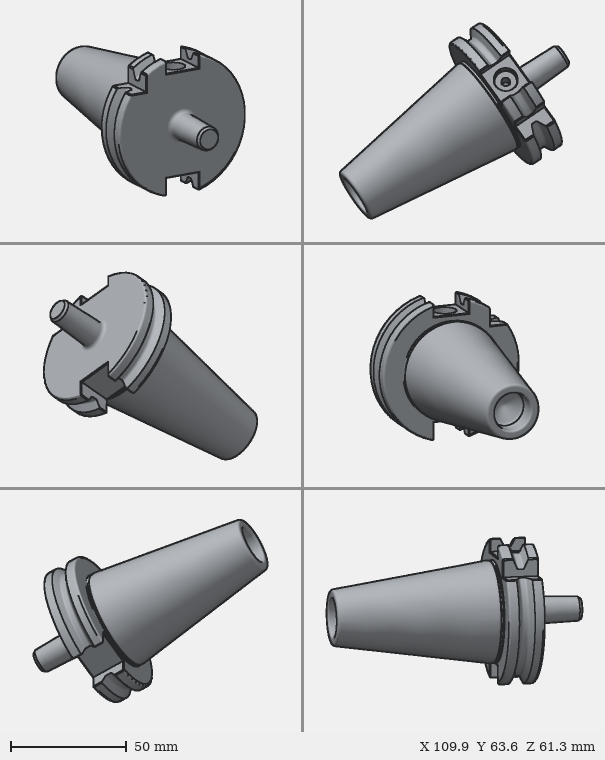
import cadquery as cq
import math

total_length = 109.9
gauge_plane = 69.0
flange_start = 71.5
flange_width = 15.9
flange_end = flange_start + flange_width
flange_middle = flange_start + flange_width / 2

gauge_radius = 22.3
taper_ratio = 7 / 24
small_end_radius = gauge_radius - gauge_plane * taper_ratio / 2
small_end_round = 1.3

neck_radius = 22.0
neck_chamfer_start = 70.0
neck_round = 0.4

flange_radius = 31.8
flange_round = 1.0
groove_floor_radius = 28.1
groove_mouth_width = 6.9
groove_flank_angle = 30.0
groove_round = 1.0
slot_width = 16.2
top_slot_floor = 25.0
bottom_slot_floor = 22.5
notch_offset = 18.2
slot_edge_chamfer = 0.4

bore_mouth_radius = 8.5
bore_mouth_depth = 6.0
bore_mouth_round = 1.0
bore_step_radius = 8.1
bore_step_start = 7.6
bore_step_length = 0.3
bore_core_radius = 7.1
drill_half_angle = 59.0

pocket_radius = 5.2
pocket_depth = 4.3
pocket_chamfer = 0.3
pin_hole_radius = 1.9
pin_hole_depth = 7.7

stub_root_radius = 6.0
stub_tip_radius = 5.4
stub_root_round = 1.9
stub_chamfer_length = 1.3
stub_chamfer_height = 0.9

clearance = 5.5
tolerance = 0.0001
x_axis = ((0, 0, 0), (1, 0, 0))


def drill_point(radius):
    return radius / math.tan(math.radians(drill_half_angle))


def make_taper():
    neck_drop = gauge_radius - neck_radius
    neck_end_radius = neck_radius + neck_round
    profile = (
        cq.Workplane("XY")
        .moveTo(0, 0)
        .lineTo(0, small_end_radius)
        .lineTo(gauge_plane, gauge_radius)
        .lineTo(neck_chamfer_start, gauge_radius)
        .lineTo(neck_chamfer_start + neck_drop, neck_radius)
        .lineTo(flange_start - neck_round, neck_radius)
        .radiusArc((flange_start, neck_end_radius), -neck_round)
        .lineTo(flange_middle, neck_end_radius)
        .lineTo(flange_middle, 0)
        .close()
    )
    return profile.revolve(360, *x_axis).faces("<X").edges().fillet(small_end_round)


def slot_box(y_min, y_max, z_min, z_max):
    box = cq.Workplane("XY").box(flange_width + 2 * clearance, y_max - y_min, z_max - z_min)
    return box.translate((flange_middle, (y_min + y_max) / 2, (z_min + z_max) / 2))


def is_slot_rim(edge, box):
    """True for an edge around the opening of a slot, not for a corner along its floor."""
    center = edge.Center()
    middle = edge.positionAt(0.5)
    touches_slot = box.val().distance(cq.Vertex.makeVertex(*middle.toTuple())) < tolerance
    spans_width = abs(center.x - flange_middle) < tolerance
    below_rim = math.hypot(center.y, center.z) < flange_radius - 2 * flange_round
    return touches_slot and not (spans_width and below_rim)


def make_flange():
    flange = cq.Workplane("YZ").workplane(offset=flange_start).circle(flange_radius).extrude(flange_width)
    flange = flange.edges().fillet(flange_round)
    outside = flange_radius + clearance
    half_width = slot_width / 2
    boxes = [
        slot_box(-half_width, half_width, top_slot_floor, outside),
        slot_box(-half_width, half_width, -outside, -bottom_slot_floor),
        slot_box(-outside, -notch_offset, notch_offset, outside),
    ]
    for box in boxes:
        flange = flange.cut(box)
        flange = flange.edges().filter(lambda edge: is_slot_rim(edge, box)).chamfer(slot_edge_chamfer)
    return flange


def make_groove():
    """Ring with a V section, narrow at its rounded floor."""
    slope = math.tan(math.radians(groove_flank_angle))
    outer_radius = flange_radius + clearance
    mouth_half = groove_mouth_width / 2
    floor_half = mouth_half - (flange_radius - groove_floor_radius) * slope
    outer_half = mouth_half + clearance * slope
    profile = cq.Workplane("XY").polyline([
        (flange_middle - outer_half, outer_radius),
        (flange_middle - floor_half, groove_floor_radius),
        (flange_middle + floor_half, groove_floor_radius),
        (flange_middle + outer_half, outer_radius),
    ]).close()
    ring = profile.revolve(360, *x_axis)
    floor_edges = cq.selectors.RadiusNthSelector(0)
    return ring.edges("%CIRCLE").edges(floor_edges).fillet(groove_round)


def make_stub():
    chamfer_start = total_length - stub_chamfer_length
    profile = (
        cq.Workplane("XY")
        .moveTo(flange_middle, 0)
        .lineTo(flange_middle, stub_root_radius + stub_root_round)
        .lineTo(flange_end, stub_root_radius + stub_root_round)
        .radiusArc((flange_end + stub_root_round, stub_root_radius), -stub_root_round)
        .lineTo(chamfer_start, stub_tip_radius)
        .lineTo(total_length, stub_tip_radius - stub_chamfer_height)
        .lineTo(total_length, 0)
        .close()
    )
    return profile.revolve(360, *x_axis)


def make_bore():
    step_end = bore_step_start + bore_step_length
    core_start = step_end + bore_step_radius - bore_core_radius
    profile = (
        cq.Workplane("XY")
        .moveTo(0, 0)
        .lineTo(0, bore_mouth_radius + bore_mouth_round)
        .radiusArc((bore_mouth_round, bore_mouth_radius), -bore_mouth_round)
        .lineTo(bore_mouth_depth, bore_mouth_radius)
        .lineTo(bore_step_start, bore_step_radius)
        .lineTo(step_end, bore_step_radius)
        .lineTo(core_start, bore_core_radius)
        .lineTo(core_start + drill_point(bore_core_radius), 0)
        .close()
    )
    return profile.revolve(360, *x_axis)


def make_radial_hole():
    pocket_floor = top_slot_floor - pocket_depth
    hole_end = pocket_floor - pin_hole_depth
    profile = (
        cq.Workplane("XZ")
        .moveTo(0, top_slot_floor)
        .lineTo(pocket_radius, top_slot_floor)
        .lineTo(pocket_radius, pocket_floor + pocket_chamfer)
        .lineTo(pocket_radius - pocket_chamfer, pocket_floor)
        .lineTo(pin_hole_radius, pocket_floor)
        .lineTo(pin_hole_radius, hole_end)
        .lineTo(0, hole_end - drill_point(pin_hole_radius))
        .close()
    )
    return profile.revolve(360, (0, 0, 0), (0, 1, 0)).translate((flange_middle, 0, 0))


flange = make_flange().cut(make_groove())
body = make_taper().union(flange).union(make_stub())
result = body.cut(make_bore()).cut(make_radial_hole())